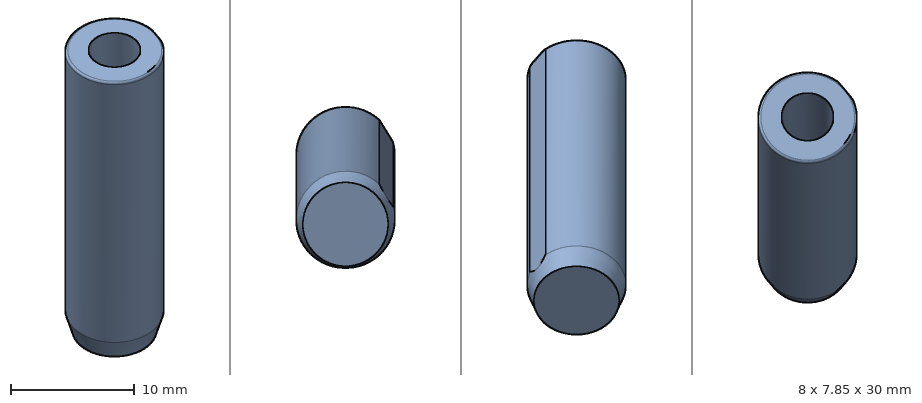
import cadquery as cq
import math

PIN_DIAMETER = 8.0
PIN_LENGTH = 30.0

TOP_EDGE_RADIUS = 0.2
LEAD_LENGTH = 2.05
LEAD_ANGLE = 15.0

FLAT_OFFSET = 3.85

HOLE_DIAMETER = 4.2
HOLE_DEPTH = 12.0
DRILL_POINT_ANGLE = 118.0

PIN_RADIUS = PIN_DIAMETER / 2
LEAD_END_RADIUS = PIN_RADIUS - LEAD_LENGTH * math.tan(math.radians(LEAD_ANGLE))


def pin_body():
    """Turned pin with a tapered lower end and a rounded top edge."""
    return (
        cq.Workplane("XZ")
        .lineTo(LEAD_END_RADIUS, 0)
        .lineTo(PIN_RADIUS, LEAD_LENGTH)
        .lineTo(PIN_RADIUS, PIN_LENGTH - TOP_EDGE_RADIUS)
        .tangentArcPoint((-TOP_EDGE_RADIUS, TOP_EDGE_RADIUS), relative=True)
        .lineTo(0, PIN_LENGTH)
        .close()
        .revolve(360, (0, 0), (0, 1))
    )


def flat_cutter():
    """Block removing everything beyond the flat, over the full length."""
    return cq.Workplane("XY").box(
        PIN_DIAMETER, PIN_DIAMETER, PIN_LENGTH, centered=(True, False, False)
    ).translate((0, FLAT_OFFSET, 0))


def blind_hole():
    """Drilled hole with a conical end, opening on the top face."""
    radius = HOLE_DIAMETER / 2
    point_height = radius / math.tan(math.radians(DRILL_POINT_ANGLE / 2))
    shoulder_z = PIN_LENGTH - HOLE_DEPTH
    return (
        cq.Workplane("XZ")
        .moveTo(0, shoulder_z - point_height)
        .lineTo(radius, shoulder_z)
        .lineTo(radius, PIN_LENGTH)
        .lineTo(0, PIN_LENGTH)
        .close()
        .revolve(360, (0, 0), (0, 1))
    )


result = pin_body().cut(flat_cutter()).cut(blind_hole())